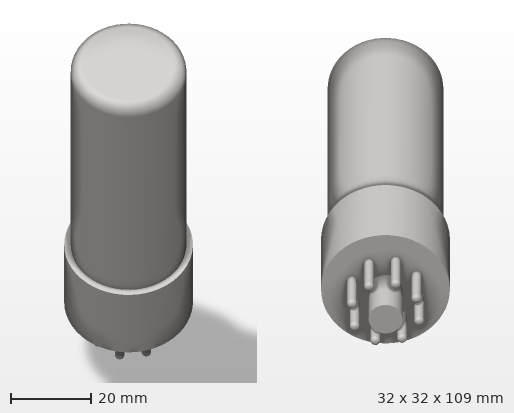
import cadquery as cq

total_height = 109.0

envelope_diameter = 28.8
envelope_top_fillet = 3.0

base_diameter = 32.0
base_bottom_z = 13.7
base_top_z = 36.7

post_diameter = 8.4

pin_count = 8
pin_diameter = 2.4
pin_circle_radius = 8.7
pin_tip_z = 2.2
pin_tip_fillet = 1.1


def cylinder(diameter, bottom_z, top_z):
    """Solid cylinder on the Z axis between two heights."""
    return (
        cq.Workplane("XY")
        .workplane(offset=bottom_z)
        .circle(diameter / 2)
        .extrude(top_z - bottom_z)
    )


def make_envelope():
    """Glass cylinder with a rounded top rim, seated on the base."""
    glass = cylinder(envelope_diameter, base_top_z, total_height)
    return glass.faces(">Z").edges().fillet(envelope_top_fillet)


def make_pins():
    """Ring of equally spaced contact pins with rounded tips."""
    pin = cylinder(pin_diameter, pin_tip_z, base_bottom_z)
    pin = pin.faces("<Z").edges().fillet(pin_tip_fillet)
    first_pin = pin.translate((pin_circle_radius, 0, 0))
    pins = []
    for index in range(pin_count):
        angle = index * 360 / pin_count
        pins.append(first_pin.rotate((0, 0, 0), (0, 0, 1), angle))
    return pins


base = cylinder(base_diameter, base_bottom_z, base_top_z)
post = cylinder(post_diameter, 0, base_bottom_z)

result = base.union(make_envelope()).union(post)
for contact_pin in make_pins():
    result = result.union(contact_pin)